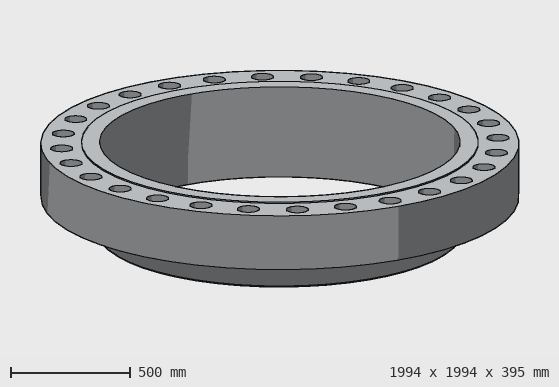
import cadquery as cq

flange_diameter = 1994.0
flange_thickness = 235.0
raised_face_diameter = 1655.0
raised_face_height = 5.0
bore_diameter = 1503.0
total_height = 395.0
neck_root_diameter = 1607.0
neck_end_diameter = 1531.0
weld_bevel_height = 8.0
weld_bevel_width = 10.0
hub_step_height = 12.0
bolt_count = 28
bolt_circle_diameter = 1825.0
bolt_hole_diameter = 92.0

flange_top = total_height - raised_face_height
flange_bottom = flange_top - flange_thickness
hub_top = flange_bottom - hub_step_height


def ring_body():
    """Revolve the half section of the flange, raised face and tapered hub."""
    bore_radius = bore_diameter / 2
    neck_end_radius = neck_end_diameter / 2
    section = [
        (bore_radius, 0),
        (neck_end_radius - weld_bevel_width, 0),
        (neck_end_radius, weld_bevel_height),
        (neck_root_diameter / 2, hub_top),
        (neck_root_diameter / 2, flange_bottom),
        (flange_diameter / 2, flange_bottom),
        (flange_diameter / 2, flange_top),
        (raised_face_diameter / 2, flange_top),
        (raised_face_diameter / 2, total_height),
        (bore_radius, total_height),
    ]
    return cq.Workplane("XZ").polyline(section).close().revolve(360, (0, 0), (0, 1))


def bolt_holes():
    """Through holes evenly spaced on the bolt circle, the first on +X."""
    return (
        cq.Workplane("XY")
        .polarArray(bolt_circle_diameter / 2, 0, 360, bolt_count)
        .circle(bolt_hole_diameter / 2)
        .extrude(total_height)
    )


result = ring_body().cut(bolt_holes())